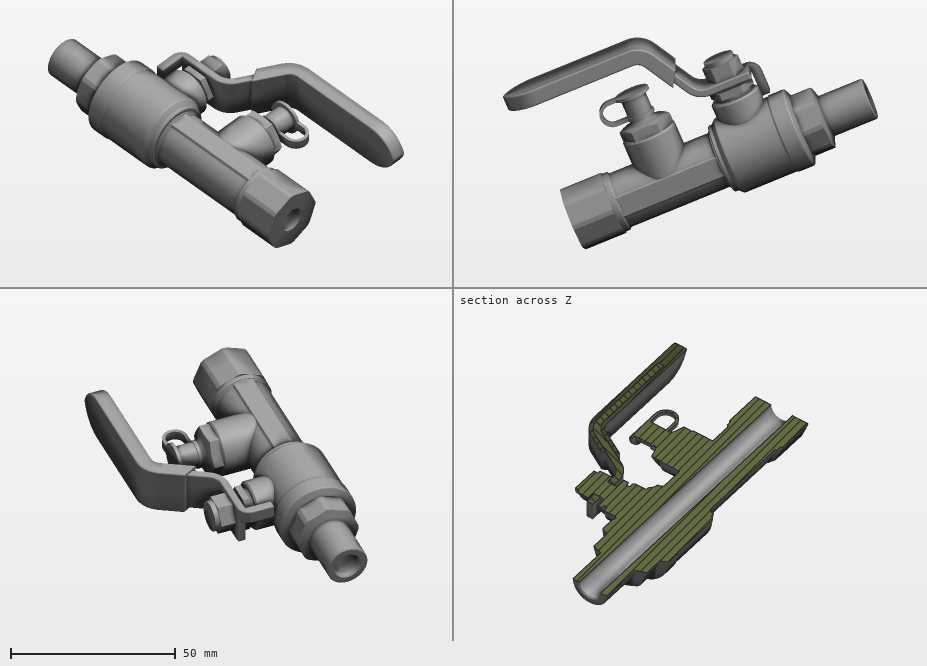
import cadquery as cq
import math


BORE_RADIUS = 4.0
BORE_CHAMFER = 0.4
PIPE_RADIUS = 6.6
PIPE_CHAMFER = 0.3
NUT_FLATS = 19.1
NUT_CORNER_RADIUS = 10.1
LEFT_NUT_START = 14.4
LEFT_NUT_CONE = 1.2
COLLAR_START = 22.2
COLLAR_END = 28.8
COLLAR_RADIUS = 12.5
COLLAR_CONE = 1.1
COLLAR_FILLET = 0.6
COLLAR_BEVEL = 0.5
BODY_RADIUS = 12.2
BODY_END = 47.4
BODY_CHAMFER = 1.1
BODY_FILLET = 0.6
FLANGE_RADIUS = 10.82
FLANGE_END = 48.9
FLANGE_BEVEL = 0.3
NECK_RING_RADIUS = 9.49
NECK_RING_END = 49.3
TUBE_RADIUS = 8.8
TUBE_END = 82.8
TUBE_FILLET = 0.5
RIGHT_NUT_START = 84.5
RIGHT_NUT_END = 98.0
SELECT_MARGIN = 0.1

PAD_TOP_HALF_WIDTH = 3.1
PAD_WALL_HALF_WIDTH = 3.4
PAD_WALL_FOOT = 8.4
PAD_FOOT_HALF_WIDTH = 4.0

STEM_X = 37.5
GLAND_RADIUS = 7.7
GLAND_TOP = 17.0
GLAND_CHAMFER = 0.5
STOP_REACH = 10.0
STOP_WIDTH = 4.1
STOP_FILLET = 0.4
SEAT_RADIUS = 5.7
SEAT_TOP = 18.2
GLAND_NUT_CORNERS = 14.0
GLAND_NUT_TOP = 20.2
STEM_RADIUS = 3.5
LEVER_NUT_CORNERS = 11.8
LEVER_NUT_TOP = 28.3
STEM_END_RADIUS = 4.77
STEM_END = 29.9

PORT_X = 66.1
PORT_RADIUS = 8.5
PORT_TOP = 16.6
PORT_CHAMFER = 0.5
FITTING_CORNERS = 16.5
FITTING_BEVEL_TOP = 19.6
FLARE_RADIUS = 5.8
FLARE_BOTTOM = 20.3
FLARE_MIDDLE_RADIUS = 4.7
FLARE_MIDDLE = 20.7
FLARE_TOP_RADIUS = 3.7
CAP_RADIUS = 4.0
CAP_DISK_RADIUS = 5.49
STRAP_RING_RADIUS = 4.4
STRAP_OUTER_RADIUS = 4.0
STRAP_THICKNESS = 1.0
STRAP_WIDTH = 3.1
STRAP_BEND_X = 73.9
CAP_TOP = 30.1
STRAP_BOTTOM = CAP_TOP - 2 * STRAP_OUTER_RADIUS

LEVER_BOTTOM = 21.1
LEVER_THICKNESS = 2.5
LEVER_WIDTH = 13.1
LEVER_FILLET = 0.5
TANG_X = 27.4
TANG_TIP = 12.7
TANG_WIDTH = 4.1
TANG_THICKNESS = 2.8
TANG_BEND_RADIUS = 3.9
LEVER_RISE_ANGLE = 60.0
LEVER_BEND_X = 47.1
LEVER_INNER_BEND_RADIUS = 4.98
LEVER_END = 92.5
GRIP_TOP = 44.0
GRIP_WALL = 1.2
GRIP_FILLET = 0.5
GRIP_END = 102.6
GRIP_MOUTH_Y = 30.4
GRIP_TIP_ARC_RADIUS = 10.3
GRIP_NOSE_RADIUS = 2.1
GRIP_WIDTH = 15.1


def ring_of_x(points):
    """Solid of revolution about the flow axis from (x, radius) points."""
    outline = [(points[0][0], 0)] + points + [(points[-1][0], 0)]
    return cq.Workplane("XY").polyline(outline).close().revolve(360, (0, 0, 0), (1, 0, 0))


def at_station(x):
    """Selector for the circular edges centred on the flow axis at one station."""
    return cq.selectors.BoxSelector((x - SELECT_MARGIN, -1, -1), (x + SELECT_MARGIN, 1, 1))


def disk_on_y(x, bottom, top, radius):
    """Cylinder parallel to Y between two heights."""
    return cq.Workplane("XZ", origin=(x, bottom, 0)).circle(radius).extrude(bottom - top)


def hexagon_on_y(x, bottom, top, corners):
    """Hexagonal prism parallel to Y with two corners on the X direction."""
    return cq.Workplane("XZ", origin=(x, bottom, 0)).polygon(6, corners).extrude(bottom - top)


def octagon_nut(start, end):
    """Octagonal prism on the flow axis with its corners turned round."""
    corner_diameter = NUT_FLATS / math.cos(math.pi / 8)
    prism = cq.Workplane("YZ", origin=(start, 0, 0)).polygon(8, corner_diameter).extrude(end - start)
    return prism.intersect(ring_of_x([(start, NUT_CORNER_RADIUS), (end, NUT_CORNER_RADIUS)]))


def left_nut():
    cone = ring_of_x([
        (LEFT_NUT_START, PIPE_RADIUS),
        (LEFT_NUT_START + LEFT_NUT_CONE, NUT_CORNER_RADIUS),
        (COLLAR_START, NUT_CORNER_RADIUS),
    ])
    return octagon_nut(LEFT_NUT_START, COLLAR_START).intersect(cone)


def flow_body():
    pipe = ring_of_x([(0, PIPE_RADIUS), (COLLAR_START, PIPE_RADIUS)]).faces("<X").chamfer(PIPE_CHAMFER)
    shell = ring_of_x([
        (COLLAR_START, NUT_CORNER_RADIUS),
        (COLLAR_START + COLLAR_CONE, COLLAR_RADIUS),
        (COLLAR_END - COLLAR_BEVEL, COLLAR_RADIUS),
        (COLLAR_END, BODY_RADIUS),
        (BODY_END - BODY_CHAMFER, BODY_RADIUS),
        (BODY_END, BODY_RADIUS - BODY_CHAMFER),
        (BODY_END + FLANGE_BEVEL, FLANGE_RADIUS),
        (FLANGE_END - FLANGE_BEVEL, FLANGE_RADIUS),
        (FLANGE_END, FLANGE_RADIUS - FLANGE_BEVEL),
        (FLANGE_END, NECK_RING_RADIUS),
        (NECK_RING_END, NECK_RING_RADIUS),
        (NECK_RING_END, TUBE_RADIUS + TUBE_FILLET),
        (NECK_RING_END + TUBE_FILLET, TUBE_RADIUS),
        (TUBE_END - TUBE_FILLET, TUBE_RADIUS),
        (TUBE_END, TUBE_RADIUS + TUBE_FILLET),
        (TUBE_END, NECK_RING_RADIUS),
        (RIGHT_NUT_START, NECK_RING_RADIUS),
    ])
    shell = shell.edges(at_station(COLLAR_START + COLLAR_CONE)).fillet(COLLAR_FILLET)
    shell = shell.edges(at_station(BODY_END - BODY_CHAMFER)).fillet(BODY_FILLET)
    return pipe.union(left_nut()).union(shell).union(octagon_nut(RIGHT_NUT_START, RIGHT_NUT_END))


def tube_pads():
    """Flat ribs along the +Z and -Z sides of the tube, with sloped walls and a hollow at the foot."""
    foot_height = math.sqrt(TUBE_RADIUS**2 - PAD_FOOT_HALF_WIDTH**2)
    hollow_y = PAD_WALL_HALF_WIDTH + (PAD_FOOT_HALF_WIDTH - PAD_WALL_HALF_WIDTH) / 3
    hollow_z = foot_height + (PAD_WALL_FOOT - foot_height) / 3
    pad = (
        cq.Workplane("YZ", origin=(NECK_RING_END, 0, 0))
        .moveTo(-PAD_FOOT_HALF_WIDTH, 0)
        .lineTo(-PAD_FOOT_HALF_WIDTH, foot_height)
        .threePointArc((-hollow_y, hollow_z), (-PAD_WALL_HALF_WIDTH, PAD_WALL_FOOT))
        .lineTo(-PAD_TOP_HALF_WIDTH, TUBE_RADIUS)
        .lineTo(PAD_TOP_HALF_WIDTH, TUBE_RADIUS)
        .lineTo(PAD_WALL_HALF_WIDTH, PAD_WALL_FOOT)
        .threePointArc((hollow_y, hollow_z), (PAD_FOOT_HALF_WIDTH, foot_height))
        .lineTo(PAD_FOOT_HALF_WIDTH, 0)
        .close()
        .extrude(TUBE_END - NECK_RING_END)
    )
    return pad.union(pad.mirror("XY"))


def gland():
    """Stem housing with a block on either side that the lever tang turns against."""
    stops = (
        cq.Workplane("XY")
        .box(2 * STOP_REACH, GLAND_TOP, STOP_WIDTH)
        .edges("|Y")
        .fillet(STOP_FILLET)
        .faces(">Y")
        .chamfer(GLAND_CHAMFER)
        .translate((STEM_X, GLAND_TOP / 2, 0))
    )
    housing = disk_on_y(STEM_X, 0, GLAND_TOP, GLAND_RADIUS).faces(">Y").chamfer(GLAND_CHAMFER)
    return housing.union(stops)


def stem():
    lever_top = LEVER_BOTTOM + LEVER_THICKNESS
    return (
        disk_on_y(STEM_X, 0, SEAT_TOP, SEAT_RADIUS)
        .union(hexagon_on_y(STEM_X, SEAT_TOP, GLAND_NUT_TOP, GLAND_NUT_CORNERS))
        .union(disk_on_y(STEM_X, SEAT_TOP, STEM_END, STEM_RADIUS))
        .union(hexagon_on_y(STEM_X, lever_top, LEVER_NUT_TOP, LEVER_NUT_CORNERS))
        .union(disk_on_y(STEM_X, lever_top, STEM_END, STEM_END_RADIUS))
    )


def port_fitting():
    """Hexagonal fitting whose top runs into a flared neck."""
    flare = (
        cq.Workplane("XY", origin=(PORT_X, 0, 0))
        .moveTo(0, PORT_TOP)
        .lineTo(FITTING_CORNERS / 2, PORT_TOP)
        .lineTo(FITTING_CORNERS / 2, FITTING_BEVEL_TOP)
        .lineTo(FLARE_RADIUS, FLARE_BOTTOM)
        .threePointArc((FLARE_MIDDLE_RADIUS, FLARE_MIDDLE), (FLARE_TOP_RADIUS, STRAP_BOTTOM))
        .lineTo(0, STRAP_BOTTOM)
        .close()
        .revolve(360, (0, 0, 0), (0, 1, 0))
    )
    return flare.intersect(hexagon_on_y(PORT_X, PORT_TOP, STRAP_BOTTOM, FITTING_CORNERS))


def cap_strap():
    """U-shaped strap from the top of the cap back to the ring round its foot."""
    def loop(radius):
        bend_y = CAP_TOP - STRAP_OUTER_RADIUS
        return (
            cq.Workplane("XY", origin=(0, 0, -STRAP_WIDTH / 2))
            .moveTo(PORT_X, bend_y + radius)
            .lineTo(STRAP_BEND_X, bend_y + radius)
            .threePointArc((STRAP_BEND_X + radius, bend_y), (STRAP_BEND_X, bend_y - radius))
            .lineTo(PORT_X, bend_y - radius)
            .close()
            .extrude(STRAP_WIDTH)
        )

    return loop(STRAP_OUTER_RADIUS).cut(loop(STRAP_OUTER_RADIUS - STRAP_THICKNESS))


def access_port():
    boss = disk_on_y(PORT_X, 0, PORT_TOP, PORT_RADIUS).faces(">Y").chamfer(PORT_CHAMFER)
    return (
        boss
        .union(port_fitting())
        .union(disk_on_y(PORT_X, STRAP_BOTTOM, CAP_TOP, CAP_RADIUS))
        .union(disk_on_y(PORT_X, STRAP_BOTTOM, STRAP_BOTTOM + STRAP_THICKNESS, STRAP_RING_RADIUS))
        .union(disk_on_y(PORT_X, CAP_TOP - STRAP_THICKNESS, CAP_TOP, CAP_DISK_RADIUS))
        .union(cap_strap())
    )


def make_valve():
    bore = ring_of_x([
        (0, BORE_RADIUS + BORE_CHAMFER),
        (BORE_CHAMFER, BORE_RADIUS),
        (RIGHT_NUT_END, BORE_RADIUS),
    ])
    return flow_body().union(tube_pads()).union(gland()).union(stem()).union(access_port()).cut(bore)


RISE = math.radians(LEVER_RISE_ANGLE)
LOW_Y = LEVER_BOTTOM + LEVER_THICKNESS / 2
GRIP_THICKNESS = LEVER_THICKNESS + 2 * GRIP_WALL
HIGH_Y = GRIP_TOP - GRIP_THICKNESS / 2
HIGH_BEND_X = LEVER_BEND_X + (HIGH_Y - LOW_Y) / math.tan(RISE)
MID_BEND_RADIUS = LEVER_INNER_BEND_RADIUS + LEVER_THICKNESS / 2


def bend_points(offset):
    """Tangent points of both bends on the line that runs `offset` above the centre line."""
    half_turn = math.tan(RISE / 2)
    low_x = LEVER_BEND_X - offset * half_turn
    high_x = HIGH_BEND_X - offset * half_turn
    low_y = LOW_Y + offset
    high_y = HIGH_Y + offset
    low_length = (MID_BEND_RADIUS - offset) * half_turn
    high_length = (MID_BEND_RADIUS + offset) * half_turn
    return [
        (low_x - low_length, low_y),
        (low_x + low_length * math.cos(RISE), low_y + low_length * math.sin(RISE)),
        (high_x - high_length * math.cos(RISE), high_y - high_length * math.sin(RISE)),
        (high_x + high_length, high_y),
    ]


def bent_bar(thickness, width, start_x, end_x):
    """Flat bar of constant thickness that follows the centre line."""
    half = thickness / 2
    upper = bend_points(half)
    lower = bend_points(-half)
    return (
        cq.Workplane("XY", origin=(0, 0, -width / 2))
        .moveTo(start_x, LOW_Y + half)
        .lineTo(*upper[0])
        .tangentArcPoint(upper[1], relative=False)
        .lineTo(*upper[2])
        .tangentArcPoint(upper[3], relative=False)
        .lineTo(end_x, HIGH_Y + half)
        .lineTo(end_x, HIGH_Y - half)
        .lineTo(*lower[3])
        .tangentArcPoint(lower[2], relative=False)
        .lineTo(*lower[1])
        .tangentArcPoint(lower[0], relative=False)
        .lineTo(start_x, LOW_Y - half)
        .close()
        .extrude(width)
    )


def tang_block(width):
    """Block of the tang's thickness and height, with one side on z = 0."""
    height = LEVER_BOTTOM + LEVER_THICKNESS - TANG_TIP
    return cq.Workplane("XY").box(TANG_THICKNESS, height, width, centered=False).translate((TANG_X, TANG_TIP, 0))


def lever_bar():
    """Flat lever whose start bends down into a tang on its +Z side only."""
    half_width = LEVER_WIDTH / 2
    beside_tang = tang_block(LEVER_WIDTH - TANG_WIDTH).translate((0, 0, -half_width))
    bar = bent_bar(LEVER_THICKNESS, LEVER_WIDTH, TANG_X, LEVER_END)
    bar = bar.union(tang_block(LEVER_WIDTH).translate((0, 0, -half_width)))
    outer_corner = cq.selectors.NearestToPointSelector((TANG_X, LEVER_BOTTOM + LEVER_THICKNESS, 0))
    bar = bar.edges(outer_corner).fillet(TANG_BEND_RADIUS).cut(beside_tang)
    return bar.faces(">Z or <Z or <Y").edges().fillet(LEVER_FILLET)


def make_lever():
    return lever_bar().cut(disk_on_y(STEM_X, 0, STEM_END, STEM_RADIUS))


def grip_plan():
    """Plan of the grip: parallel sides closed by two wide arcs and a small round nose."""
    side_z = GRIP_WIDTH / 2
    arc_z = side_z - GRIP_TIP_ARC_RADIUS
    nose_x = GRIP_END - GRIP_NOSE_RADIUS
    arc_x = nose_x - math.sqrt((GRIP_TIP_ARC_RADIUS - GRIP_NOSE_RADIUS)**2 - arc_z**2)
    nose_turn = math.atan2(-arc_z, nose_x - arc_x)
    join_x = nose_x + GRIP_NOSE_RADIUS * math.cos(nose_turn)
    join_z = GRIP_NOSE_RADIUS * math.sin(nose_turn)
    return (
        cq.Workplane("XZ")
        .moveTo(TANG_X, -side_z)
        .lineTo(arc_x, -side_z)
        .tangentArcPoint((join_x, -join_z), relative=False)
        .tangentArcPoint((join_x, join_z), relative=False)
        .tangentArcPoint((arc_x, side_z), relative=False)
        .lineTo(TANG_X, side_z)
        .close()
        .extrude(-GRIP_TOP)
    )


def grip_mouth_cut():
    """Everything on the stem side of the slanted mouth of the grip."""
    mouth_x = LEVER_BEND_X + (GRIP_MOUTH_Y - LOW_Y) / math.tan(RISE)
    run = GRIP_MOUTH_Y / math.tan(RISE)
    return (
        cq.Workplane("XY", origin=(0, 0, -LEVER_WIDTH))
        .polyline([
            (mouth_x - run, 2 * GRIP_MOUTH_Y),
            (mouth_x + run, 0),
            (0, 0),
            (0, 2 * GRIP_MOUTH_Y),
        ])
        .close()
        .extrude(2 * LEVER_WIDTH)
    )


def make_grip(lever):
    bar = bent_bar(GRIP_THICKNESS, GRIP_WIDTH, TANG_X, GRIP_END)
    bar = bar.intersect(grip_plan()).cut(grip_mouth_cut())
    bar = bar.edges("not(|Z or |Y)").fillet(GRIP_FILLET)
    return bar.cut(lever)


valve = make_valve()
lever = make_lever()
grip = make_grip(lever)
result = cq.Compound.makeCompound([valve.val(), lever.val(), grip.val()])